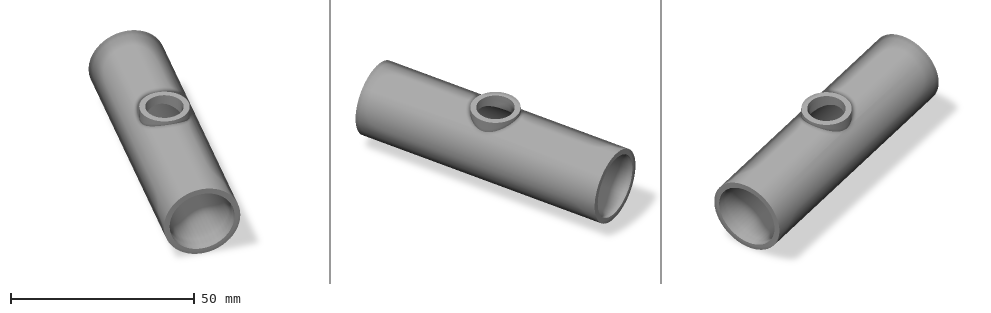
import cadquery as cq

run_length = 76.2
run_outer_diameter = 21.7
run_bore_diameter = 18.4
branch_outer_diameter = 13.8
branch_bore_diameter = 10.5
overall_height = 22.85

branch_top = overall_height - run_outer_diameter / 2


def run_cylinder(diameter):
    """Cylinder along X, centred on the origin, over the full run length."""
    return cq.Workplane("YZ").circle(diameter / 2).extrude(run_length / 2, both=True)


def branch_cylinder(diameter):
    """Cylinder along Z from the run axis up to the branch mouth."""
    return cq.Workplane("XY").circle(diameter / 2).extrude(branch_top)


outer_body = run_cylinder(run_outer_diameter).union(branch_cylinder(branch_outer_diameter))

result = outer_body.cut(run_cylinder(run_bore_diameter)).cut(branch_cylinder(branch_bore_diameter))